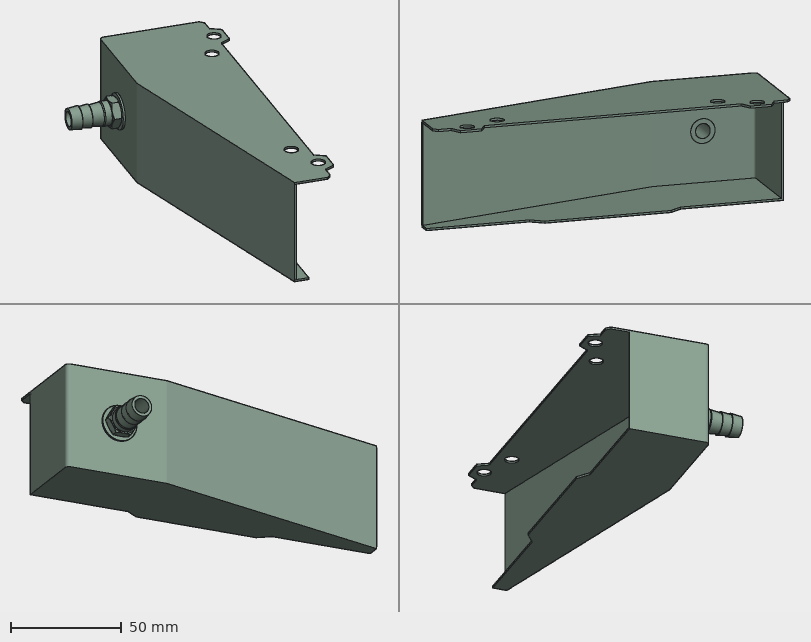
import cadquery as cq
import math

length = 170.0
height = 50.0
sheet = 1.0
plate_depth = 50.0
wall_depth = 39.0
bend_radius = 2.0
rear_corner_chamfer = 2.0
straight_front = 50.0
slant_angle = math.radians(15)
slant_overhang = 0.1

mount_hole_diameter = 6.5
tab_hole_spacing = 138.0
tab_hole_y = 49.4
inner_hole_spacing = 105.0
inner_hole_y = 42.4
tab_height = 5.0
tab_tip_width = 10.0
tab_side_angle = math.radians(30)
tab_base_width = tab_tip_width + 2 * tab_height * math.tan(tab_side_angle)

flange_height = 4.3
flange_tip_width = 60.0
flange_side_run = 6.0

fitting_x = 26.0
fitting_z = height / 2
bore_diameter = 7.0
washer_diameter = 17.0
washer_thickness = 1.0
hex_flats = 13.0
hex_length = 4.3
hex_chamfer_angle = math.radians(30)
collar_diameter = 11.62
collar_length = 3.1
collar_taper_length = 0.6
barb_diameter = 11.0
barb_root_diameter = 9.82
barb_pitch = 4.8
barb_count = 3
first_barb = 9.6
fitting_reach = 24.28

slant_rise = (length - straight_front) * math.tan(slant_angle)
middle_x = length / 2


def footprint(depth):
    """Plan outline of the housing, from its front face back to the given depth."""
    return (
        cq.Workplane("XY")
        .polyline([(0, 0), (straight_front, 0), (length, slant_rise), (length, depth), (0, depth)])
        .close()
    )


def trapezoid(center_x, base_y, base_width, tip_width, reach):
    """Sheet tab with sloping sides, on a straight rear edge."""
    return (
        cq.Workplane("XY")
        .polyline([
            (center_x - base_width / 2, base_y - sheet),
            (center_x + base_width / 2, base_y - sheet),
            (center_x + base_width / 2, base_y),
            (center_x + tip_width / 2, base_y + reach),
            (center_x - tip_width / 2, base_y + reach),
            (center_x - base_width / 2, base_y),
        ])
        .close()
        .extrude(sheet)
    )


def round_front_corners(plate):
    """Round the front-left corner and the obtuse corner where the slant starts."""
    for corner in [(0, 0), (straight_front, 0)]:
        nearest = cq.selectors.NearestToPointSelector((*corner, sheet / 2))
        plate = plate.edges("|Z").edges(nearest).fillet(bend_radius)
    return plate


def make_top_plate():
    plate = round_front_corners(footprint(plate_depth).extrude(sheet))
    plate = plate.edges("|Z").edges(">Y").chamfer(rear_corner_chamfer)
    for side in (-1, 1):
        tab_x = middle_x + side * tab_hole_spacing / 2
        plate = plate.union(trapezoid(tab_x, plate_depth, tab_base_width, tab_tip_width, tab_height))
    hole_points = []
    for spacing, hole_y in [(tab_hole_spacing, tab_hole_y), (inner_hole_spacing, inner_hole_y)]:
        hole_points += [(middle_x - spacing / 2, hole_y), (middle_x + spacing / 2, hole_y)]
    holes = cq.Workplane("XY").pushPoints(hole_points).circle(mount_hole_diameter / 2).extrude(sheet)
    return plate.cut(holes).translate((0, 0, height - sheet))


def make_bottom_plate():
    plate = round_front_corners(footprint(wall_depth).extrude(sheet))
    base_width = flange_tip_width + 2 * flange_side_run
    return plate.union(trapezoid(middle_x, wall_depth, base_width, flange_tip_width, flange_height))


def make_walls():
    """Left, front and slanted walls: one bent strip standing between the plates."""
    slant_run = length + slant_overhang - straight_front
    end = (straight_front + slant_run, slant_run * math.tan(slant_angle))
    inner_end = (end[0] - sheet * math.sin(slant_angle), end[1] + sheet * math.cos(slant_angle))
    inner_bend_x = straight_front - sheet * math.tan(slant_angle / 2)
    wall_height = height - 2 * sheet
    strip = (
        cq.Workplane("XY")
        .workplane(offset=sheet)
        .polyline([
            (0, 0), (straight_front, 0), end, inner_end,
            (inner_bend_x, sheet), (sheet, sheet), (sheet, wall_depth), (0, wall_depth),
        ])
        .close()
        .extrude(wall_height)
    )
    bends = [
        ((0, 0), bend_radius),
        ((straight_front, 0), bend_radius),
        ((sheet, sheet), bend_radius - sheet),
        ((inner_bend_x, sheet), bend_radius - sheet),
    ]
    for corner, radius in bends:
        nearest = cq.selectors.NearestToPointSelector((*corner, height / 2))
        strip = strip.edges("|Z").edges(nearest).fillet(radius)
    return strip


def fitting_cylinder(diameter, start, end):
    """Cylinder on the fitting axis; start and end are distances out from the front face."""
    return (
        cq.Workplane("XZ", origin=(fitting_x, -start, fitting_z))
        .circle(diameter / 2)
        .extrude(end - start)
    )


def revolve_on_fitting_axis(profile):
    """Revolve (radius, distance out from the front face) points about the fitting axis."""
    return (
        cq.Workplane("XY", origin=(fitting_x, 0, fitting_z))
        .polyline([(radius, -distance) for radius, distance in profile])
        .close()
        .revolve(360, (0, 0), (0, 1))
    )


def make_housing():
    shell = make_walls().union(make_top_plate()).union(make_bottom_plate())
    return shell.cut(fitting_cylinder(collar_diameter, -sheet, 0))


def make_washer():
    ring = fitting_cylinder(washer_diameter, 0, washer_thickness)
    return ring.cut(fitting_cylinder(collar_diameter, 0, washer_thickness))


def make_hexagon():
    """Hexagon with corners at +X and -X, chamfered at both ends like a nut."""
    corner_radius = hex_flats / math.sqrt(3)
    face_radius = hex_flats / 2
    chamfer = (corner_radius - face_radius) * math.tan(hex_chamfer_angle)
    start = washer_thickness
    end = start + hex_length
    prism = (
        cq.Workplane("XZ", origin=(fitting_x, -start, fitting_z))
        .polygon(6, 2 * corner_radius)
        .extrude(hex_length)
    )
    envelope = revolve_on_fitting_axis([
        (0, start), (face_radius, start), (corner_radius, start + chamfer),
        (corner_radius, end - chamfer), (face_radius, end), (0, end),
    ])
    return prism.intersect(envelope)


def make_fitting():
    """Shank through the wall, hexagon, collar and barbed hose tail with a through bore."""
    collar_start = washer_thickness + hex_length
    collar_end = collar_start + collar_length
    profile = [
        (0, -sheet),
        (collar_diameter / 2, -sheet),
        (collar_diameter / 2, collar_end),
        (barb_diameter / 2, collar_end + collar_taper_length),
    ]
    for index in range(barb_count):
        crest = first_barb + index * barb_pitch
        last = index == barb_count - 1
        root = fitting_reach if last else crest + barb_pitch
        profile.append((barb_diameter / 2, crest))
        profile.append((barb_root_diameter / 2, root))
    profile.append((0, fitting_reach))
    body = revolve_on_fitting_axis(profile).union(make_hexagon())
    return body.cut(fitting_cylinder(bore_diameter, -sheet, fitting_reach))


housing = make_housing()
washer = make_washer()
fitting = make_fitting()

result = cq.Compound.makeCompound([housing.val(), washer.val(), fitting.val()])